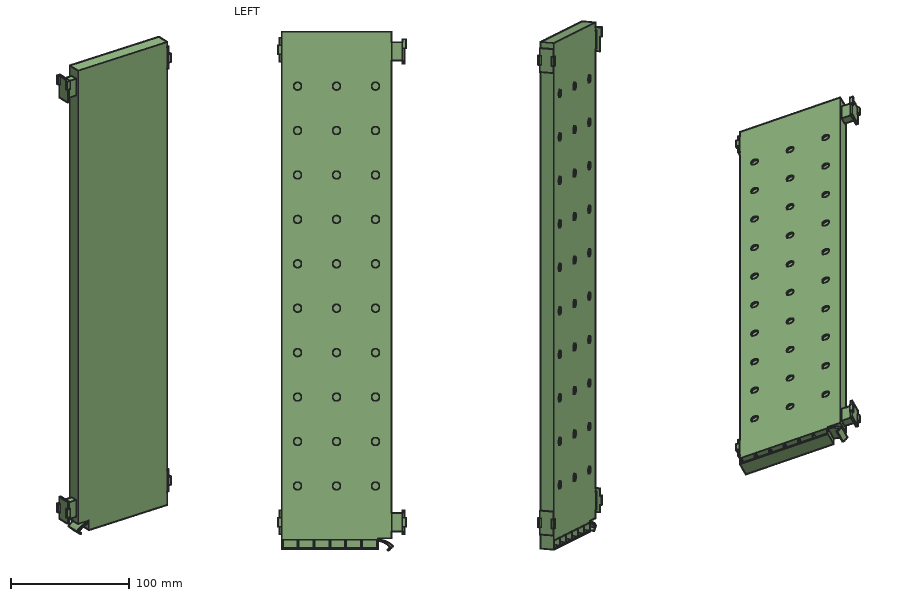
import cadquery as cq

TOTAL_HEIGHT = 438.5

PANEL_THICKNESS = 12.5
PANEL_WIDTH = 93.0
PANEL_BOTTOM = 10.5
PANEL_HEIGHT = TOTAL_HEIGHT - PANEL_BOTTOM
PANEL_EDGE = PANEL_WIDTH / 2
PANEL_MIDDLE = PANEL_BOTTOM + PANEL_HEIGHT / 2

RECESS_DIAMETER = 6.5
RECESS_DEPTH = 1.5
RECESS_COLUMNS = 3
RECESS_ROWS = 10
RECESS_SPAN_Y = 66.0
RECESS_SPAN_Z = 337.7
RECESS_MIDDLE_Z = 223.5

TRAY_LENGTH = 81.5
TRAY_END = PANEL_EDGE - TRAY_LENGTH
TRAY_BOTTOM = 1.5
TRAY_WALL = 1.5
CELL_COUNT = 6

HOOK_ROOT_OUTER_Z = 9.5
HOOK_ROOT_INNER_Z = 8.5
HOOK_OUTER_MIDDLE = (-42.0, 8.0)
HOOK_TIP = (-48.0, 4.0)
HOOK_BARB_OUTER = (-44.0, 0.0)
HOOK_BARB_INNER = (-43.0, 1.0)
HOOK_INNER_CORNER = (-45.0, 3.0)
HOOK_INNER_MIDDLE = (-41.0, 6.5)

PLATE_WIDTH = PANEL_THICKNESS
PLATE_HEIGHT = 20.5
PLATE_THICKNESS = 1.8
EAR_SPAN = 15.0
EAR_BASE_WIDTH = 3.0
EAR_TIP_WIDTH = 1.8
EAR_HEIGHT = 8.0
EAR_DEPTH = 3.0
STEM_WIDTH = 6.5
STEM_HEIGHT = 16.0
STEM_LENGTH = 9.0
RAISED_EAR_OFFSET = (PLATE_HEIGHT - EAR_HEIGHT) / 2
UPPER_FRONT_CLIP_Z = 422.0
UPPER_BACK_CLIP_Z = 423.2
LOWER_CLIP_Z = 24.0


def make_recesses():
    """Round cutters in a grid, sunk into the -X face."""
    return (
        cq.Workplane("YZ", origin=(-PANEL_THICKNESS / 2, 0, RECESS_MIDDLE_Z))
        .rarray(
            RECESS_SPAN_Y / (RECESS_COLUMNS - 1),
            RECESS_SPAN_Z / (RECESS_ROWS - 1),
            RECESS_COLUMNS,
            RECESS_ROWS,
        )
        .circle(RECESS_DIAMETER / 2)
        .extrude(RECESS_DEPTH)
    )


def make_tray():
    """Bar along the panel's lower edge, with a row of cells that open toward -X."""
    tray_height = PANEL_BOTTOM - TRAY_BOTTOM
    tray_y = TRAY_END + TRAY_LENGTH / 2
    tray_z = TRAY_BOTTOM + tray_height / 2
    cell_pitch = (TRAY_LENGTH - TRAY_WALL) / CELL_COUNT
    bar = cq.Workplane("XY", origin=(0, tray_y, tray_z)).box(PANEL_THICKNESS, TRAY_LENGTH, tray_height)
    cells = (
        cq.Workplane("YZ", origin=(-PANEL_THICKNESS / 2, tray_y, tray_z))
        .rarray(cell_pitch, 4.5, CELL_COUNT, 1)
        .rect(cell_pitch - TRAY_WALL, tray_height - 2 * TRAY_WALL)
        .extrude(PANEL_THICKNESS - TRAY_WALL)
    )
    return bar.cut(cells)


def make_hook():
    """Thin curved tongue from the end of the cell row, with a barb turned back under its tip."""
    return (
        cq.Workplane("YZ")
        .moveTo(TRAY_END, HOOK_ROOT_OUTER_Z)
        .threePointArc(HOOK_OUTER_MIDDLE, HOOK_TIP)
        .lineTo(*HOOK_BARB_OUTER)
        .lineTo(*HOOK_BARB_INNER)
        .lineTo(*HOOK_INNER_CORNER)
        .threePointArc(HOOK_INNER_MIDDLE, (TRAY_END, HOOK_ROOT_INNER_Z))
        .close()
        .extrude(PANEL_THICKNESS / 2, both=True)
    )


def make_panel():
    """The panel with its recesses, its row of cells and its latch hook, as one solid."""
    slab = cq.Workplane("XY", origin=(0, 0, PANEL_MIDDLE)).box(PANEL_THICKNESS, PANEL_WIDTH, PANEL_HEIGHT)
    return slab.cut(make_recesses()).union(make_tray()).union(make_hook())


def make_ear(plate_back, ear_offset):
    """Ear on the +X side of a clip; its inner face slopes from the plate to a narrower tip."""
    outer_x = EAR_SPAN / 2
    return (
        cq.Workplane("XY", origin=(0, plate_back, ear_offset))
        .moveTo(outer_x, 0)
        .lineTo(outer_x, -EAR_DEPTH)
        .lineTo(outer_x - EAR_TIP_WIDTH, -EAR_DEPTH)
        .lineTo(outer_x - EAR_BASE_WIDTH, -PLATE_THICKNESS)
        .lineTo(outer_x - EAR_BASE_WIDTH, 0)
        .close()
        .extrude(EAR_HEIGHT / 2, both=True)
    )


def make_clip(stem_length, ear_offset):
    """Clip that stands on the XZ plane and reaches toward -Y; ear_offset lifts the ears."""
    plate_back = -stem_length
    plate = (
        cq.Workplane("XZ", origin=(0, plate_back, 0))
        .rect(PLATE_WIDTH, PLATE_HEIGHT)
        .extrude(PLATE_THICKNESS)
    )
    ear = make_ear(plate_back, ear_offset)
    clip = plate.union(ear).union(ear.mirror("YZ"))
    if stem_length > 0:
        stem = cq.Workplane("XZ").rect(STEM_WIDTH, STEM_HEIGHT).extrude(stem_length)
        clip = clip.union(stem)
    return clip


def make_front_clip(height, ear_offset):
    """Stemmed clip on the -Y edge of the panel."""
    return make_clip(STEM_LENGTH, ear_offset).translate((0, -PANEL_EDGE, height))


def make_back_clip(height):
    """Flat clip on the +Y edge of the panel, turned to face +Y."""
    return make_clip(0, 0).rotate((0, 0, 0), (0, 0, 1), 180).translate((0, PANEL_EDGE, height))


panel = make_panel()
front_clips = [
    make_front_clip(height, ear_offset)
    for height, ear_offset in ((UPPER_FRONT_CLIP_Z, RAISED_EAR_OFFSET), (LOWER_CLIP_Z, 0))
]
back_clips = [make_back_clip(height) for height in (UPPER_BACK_CLIP_Z, LOWER_CLIP_Z)]

result = cq.Compound.makeCompound([panel.val(), *[clip.val() for clip in front_clips + back_clips]])